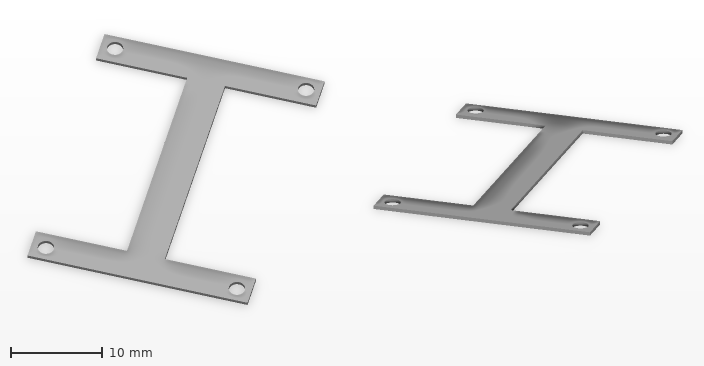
import cadquery as cq

length_x = 25.0
length_y = 32.0
thickness = 0.39

bar_width = 3.5
web_width = 4.3

hole_diameter = 1.8
hole_spacing_x = 21.7
hole_spacing_y = 28.75


def make_plate():
    """I-shaped flat plate, centred in X and Y, resting on Z = 0."""
    plate = cq.Workplane("XY").box(web_width, length_y, thickness, centered=(True, True, False))
    bar_offset = (length_y - bar_width) / 2
    for side in (-1, 1):
        bar = (
            cq.Workplane("XY")
            .center(0, side * bar_offset)
            .box(length_x, bar_width, thickness, centered=(True, True, False))
        )
        plate = plate.union(bar)
    return plate


def drill_mounting_holes(plate):
    """Drill the four through holes in the bar ends."""
    return (
        plate.faces(">Z")
        .workplane(origin=(0, 0, thickness))
        .rarray(hole_spacing_x, hole_spacing_y, 2, 2)
        .hole(hole_diameter)
    )


result = drill_mounting_holes(make_plate())